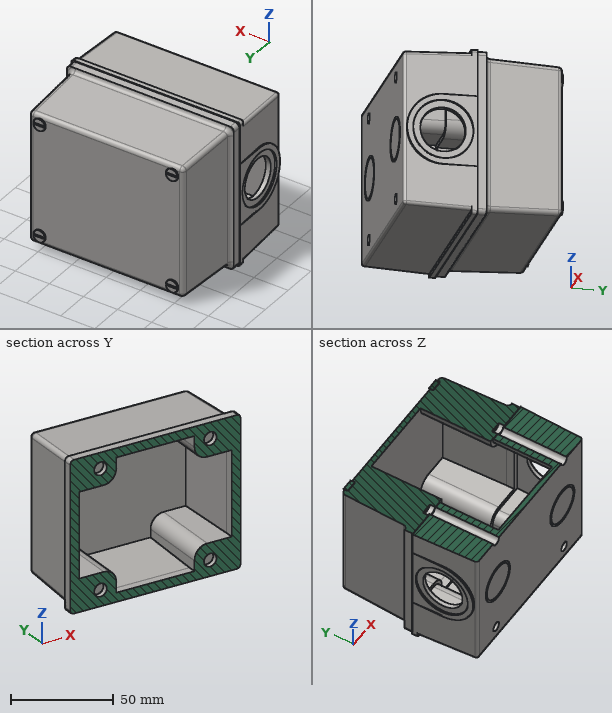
import cadquery as cq


DRAFT = 2.0
WALL = 3.0
JOINT = 36.9
PILLAR_X = 29.7
PILLAR_Z = 30.9

BASE_WIDTH = 99.0
BASE_HEIGHT = 81.5
BASE_ROUND = 1.6
RIM_HEIGHT = 85.0
RIM_START = 34.0
BASE_PILLAR_ROUND = 5.3

ENTRY_Y = 19.8
ENTRY_RADIUS = 11.4
ENTRY_RECESS_RADIUS = 15.0
ENTRY_RECESS_DEPTH = 1.0
PAD_RADIUS = 18.1

RING_X = 29.4
RING_OUTER_RADIUS = 11.1
RING_INNER_RADIUS = 10.0
RING_DEPTH = 0.1

MOUNT_X = 31.0
MOUNT_Z = 31.5
MOUNT_RADIUS = 2.6

FLANGE_INSET = 0.5
FLANGE_WIDTH = BASE_WIDTH - 2 * FLANGE_INSET
FLANGE_HEIGHT = RIM_HEIGHT - 2 * FLANGE_INSET
FLANGE_END = 41.6
LID_STEP = 2.4
LID_WIDTH = FLANGE_WIDTH - 2 * LID_STEP
LID_HEIGHT = FLANGE_HEIGHT - 2 * LID_STEP
LID_END = 80.4
LID_ROUND = 2.4
LID_PILLAR_ROUND = 7.4

SOCKET_X = 31.5
SOCKET_Z = 33.1
SOCKET_RADIUS = 3.5
SOCKET_DEPTH = 3.0

SCREW_X = 38.9
SCREW_Z = 32.9
HEAD_RADIUS = 3.5
HEAD_START = 78.8
HEAD_END = 81.2
SLOT_WIDTH = 1.0

QUADRANTS = [(-1, -1), (-1, 1), (1, -1), (1, 1)]


def plane_at(y):
    """Workplane across the depth; a positive extrusion runs toward -Y."""
    return cq.Workplane("XZ", origin=(0, y, 0))


def plate(width, height, start, end):
    """Straight block from one depth to another."""
    return plane_at(start).rect(width, height).extrude(start - end)


def drafted_block(width, height, start, end):
    """Block that narrows by the draft angle from start to end."""
    return plane_at(start).rect(width, height).extrude(start - end, taper=DRAFT)


def rod(x, z, radius, start, end):
    """Cylinder along Y from one depth to another."""
    return plane_at(start).center(x, z).circle(radius).extrude(start - end)


def corner_pillars(rounding, start, end):
    """Four pillars that run past the box corners, rounded toward the middle of the box."""
    inner_x = PILLAR_X - rounding
    inner_z = PILLAR_Z - rounding
    outer_x = BASE_WIDTH / 2
    outer_z = RIM_HEIGHT / 2
    pillars = cq.Workplane("XZ")
    for side_x, side_z in QUADRANTS:
        center_x = side_x * (inner_x + outer_x) / 2
        center_z = side_z * (inner_z + outer_z) / 2
        block = plate(outer_x - inner_x, outer_z - inner_z, start, end)
        inner_face = "<X" if side_x > 0 else ">X"
        inner_edge = "<Z" if side_z > 0 else ">Z"
        block = block.faces(inner_face).edges(inner_edge).fillet(rounding)
        pillars = pillars.add(block.translate((center_x, 0, center_z)))
    return pillars.combine()


def base_shell():
    """Drafted box with a rim at the joint and a flat pad around each cable entry."""
    body = drafted_block(BASE_WIDTH, BASE_HEIGHT, JOINT, 0).edges("not >Y").fillet(BASE_ROUND)
    rim = drafted_block(BASE_WIDTH, RIM_HEIGHT, JOINT, RIM_START).edges("not(#Y)").fillet(BASE_ROUND)
    pads = (
        cq.Workplane("YZ", origin=(-BASE_WIDTH / 2, 0, 0))
        .moveTo(JOINT, -PAD_RADIUS)
        .lineTo(ENTRY_Y, -PAD_RADIUS)
        .threePointArc((ENTRY_Y - PAD_RADIUS, 0), (ENTRY_Y, PAD_RADIUS))
        .lineTo(JOINT, PAD_RADIUS)
        .close()
        .extrude(BASE_WIDTH)
    )
    return body.union(rim).union(pads)


def base_cavity():
    space = drafted_block(BASE_WIDTH - 2 * WALL, BASE_HEIGHT - 2 * WALL, JOINT, WALL)
    return space.cut(corner_pillars(BASE_PILLAR_ROUND, 0, JOINT))


def cable_entries():
    """Through hole along X, with a shallow round recess in each side."""
    side_plane = cq.Workplane("YZ", origin=(-BASE_WIDTH / 2, ENTRY_Y, 0))
    entries = side_plane.circle(ENTRY_RADIUS).extrude(BASE_WIDTH)
    recess = side_plane.circle(ENTRY_RECESS_RADIUS).extrude(ENTRY_RECESS_DEPTH)
    return entries.union(recess).union(recess.mirror("YZ"))


def ring_groove(x):
    outer = rod(x, 0, RING_OUTER_RADIUS, 0, RING_DEPTH)
    return outer.cut(rod(x, 0, RING_INNER_RADIUS, 0, RING_DEPTH))


def make_base():
    base = base_shell().cut(base_cavity()).cut(cable_entries())
    for side in (-1, 1):
        base = base.cut(ring_groove(side * RING_X))
    for side_x, side_z in QUADRANTS:
        base = base.cut(rod(side_x * MOUNT_X, side_z * MOUNT_Z, MOUNT_RADIUS, 0, JOINT))
    return base


def lid_shell():
    """Flange on the joint and a drafted box behind it, blended by a concave fillet."""
    flange = plate(FLANGE_WIDTH, FLANGE_HEIGHT, JOINT, FLANGE_END).edges("|Y").fillet(LID_ROUND)
    body = drafted_block(LID_WIDTH, LID_HEIGHT, FLANGE_END, LID_END).edges("not <Y").fillet(LID_ROUND)
    margin = LID_STEP / 2
    foot_edges = cq.selectors.BoxSelector(
        (-LID_WIDTH / 2 - margin, FLANGE_END - margin, -LID_HEIGHT / 2 - margin),
        (LID_WIDTH / 2 + margin, FLANGE_END + margin, LID_HEIGHT / 2 + margin),
    )
    return flange.union(body).edges(foot_edges).fillet(LID_ROUND)


def lid_cavity():
    width = LID_WIDTH - 2 * WALL
    height = LID_HEIGHT - 2 * WALL
    space = plate(width, height, JOINT, FLANGE_END)
    space = space.union(drafted_block(width, height, FLANGE_END, LID_END - WALL))
    return space.cut(corner_pillars(LID_PILLAR_ROUND, JOINT, LID_END))


def make_lid():
    lid = lid_shell().cut(lid_cavity())
    for side_x, side_z in QUADRANTS:
        socket = rod(side_x * SOCKET_X, side_z * SOCKET_Z, SOCKET_RADIUS, JOINT, JOINT + SOCKET_DEPTH)
        head_seat = rod(side_x * SCREW_X, side_z * SCREW_Z, HEAD_RADIUS, HEAD_START, HEAD_END)
        lid = lid.cut(socket).cut(head_seat)
    return lid


def make_screw(x, z):
    """Screw head with a slot along X, as deep as the head stands out of the lid."""
    head = rod(x, z, HEAD_RADIUS, HEAD_START, HEAD_END)
    slot = plate(2 * HEAD_RADIUS, SLOT_WIDTH, LID_END, HEAD_END).translate((x, 0, z))
    return head.cut(slot)


base = make_base()
lid = make_lid()
screws = [make_screw(side_x * SCREW_X, side_z * SCREW_Z) for side_x, side_z in QUADRANTS]

result = cq.Compound.makeCompound([base.val(), lid.val(), *[screw.val() for screw in screws]])